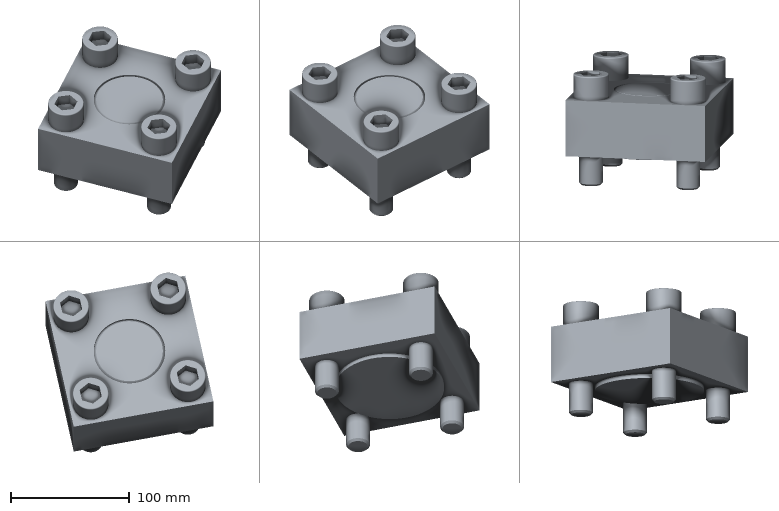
import cadquery as cq
import math

block_side = 120.0
block_height = 48.0

groove_outer_diameter = 60.2
groove_depth = 2.0

spigot_diameter = 92.0
spigot_height = 3.5

screw_spacing = 83.4
shank_diameter = 20.0
shank_projection = 27.0
shank_chamfer = 1.8
head_diameter = 30.0
head_height = 20.0
head_fillet = 1.0
socket_across_flats = 17.0
socket_depth = 10.0
socket_across_corners = socket_across_flats / math.cos(math.radians(30))


def make_block():
    """Square block with its base at Z = 0, spigot below and ring groove above."""
    block = cq.Workplane("XY").box(
        block_side, block_side, block_height, centered=(True, True, False)
    )
    spigot = cq.Workplane("XY").circle(spigot_diameter / 2).extrude(-spigot_height)
    groove_radius = groove_outer_diameter / 2
    groove = (
        cq.Workplane("XZ")
        .moveTo(groove_radius, block_height)
        .lineTo(groove_radius, block_height - groove_depth)
        .lineTo(groove_radius - groove_depth, block_height)
        .close()
        .revolve(360, (0, 0, 0), (0, 1, 0))
    )
    return block.union(spigot).cut(groove)


def make_screw():
    """Screw on the Z axis, with its head seated on top of the block."""
    shank = (
        cq.Workplane("XY", origin=(0, 0, -shank_projection))
        .circle(shank_diameter / 2)
        .extrude(shank_projection + block_height)
        .faces("<Z")
        .chamfer(shank_chamfer)
    )
    head = (
        cq.Workplane("XY", origin=(0, 0, block_height))
        .circle(head_diameter / 2)
        .extrude(head_height)
        .faces(">Z")
        .fillet(head_fillet)
    )
    socket = (
        cq.Workplane("XY", origin=(0, 0, block_height + head_height))
        .transformed(rotate=(0, 0, 90))
        .polygon(6, socket_across_corners)
        .extrude(-socket_depth)
    )
    return shank.union(head).cut(socket)


result = make_block()
screw = make_screw()
for x_side in (-1, 1):
    for y_side in (-1, 1):
        screw_position = (x_side * screw_spacing / 2, y_side * screw_spacing / 2, 0)
        result = result.union(screw.translate(screw_position))